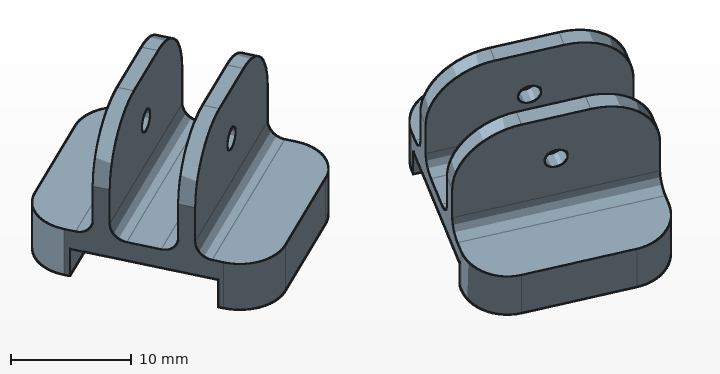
import cadquery as cq

length = 22.0
width = 18.0
base_height = 4.7
base_corner_radius = 4.0

channel_width = 13.0
channel_depth = 2.8

total_height = 15.7
lug_thickness = 1.5
lug_spacing = 7.5
lug_corner_radius = 6.0
root_fillet_radius = 1.5

hole_diameter = 2.0
hole_height = 10.6


def make_base():
    """Rounded block with an open channel underneath."""
    block = (
        cq.Workplane("XY")
        .box(length, width, base_height, centered=(True, True, False))
        .edges("|Z")
        .fillet(base_corner_radius)
    )
    channel = cq.Workplane("XY").box(
        channel_width, width, channel_depth, centered=(True, True, False)
    )
    return block.cut(channel)


def make_lug(x_center):
    """Upright plate with rounded top corners, standing on the base."""
    return (
        cq.Workplane("XY")
        .box(lug_thickness, width, total_height - base_height, centered=(True, True, False))
        .edges("|X and >Z")
        .fillet(lug_corner_radius)
        .translate((x_center, 0, base_height))
    )


def make_root_fillet(x_face, direction):
    """Concave strip between the base top and a lug face; direction is the side it extends to."""
    x_end = x_face + direction * root_fillet_radius
    z_end = base_height + root_fillet_radius
    strip = (
        cq.Workplane("XZ", origin=(0, width / 2, 0))
        .moveTo(x_face, base_height)
        .lineTo(x_end, base_height)
        .lineTo(x_end, z_end)
        .lineTo(x_face, z_end)
        .close()
        .extrude(width)
    )
    hollow = (
        cq.Workplane("XZ", origin=(0, width / 2, 0))
        .center(x_end, z_end)
        .circle(root_fillet_radius)
        .extrude(width)
    )
    return strip.cut(hollow)


result = make_base()
for side in (-1, 1):
    lug_x = side * lug_spacing / 2
    result = result.union(make_lug(lug_x))
    for direction in (-1, 1):
        face_x = lug_x + direction * lug_thickness / 2
        result = result.union(make_root_fillet(face_x, direction))

cross_hole = (
    cq.Workplane("YZ")
    .center(0, hole_height)
    .circle(hole_diameter / 2)
    .extrude(length / 2, both=True)
)
result = result.cut(cross_hole).clean()